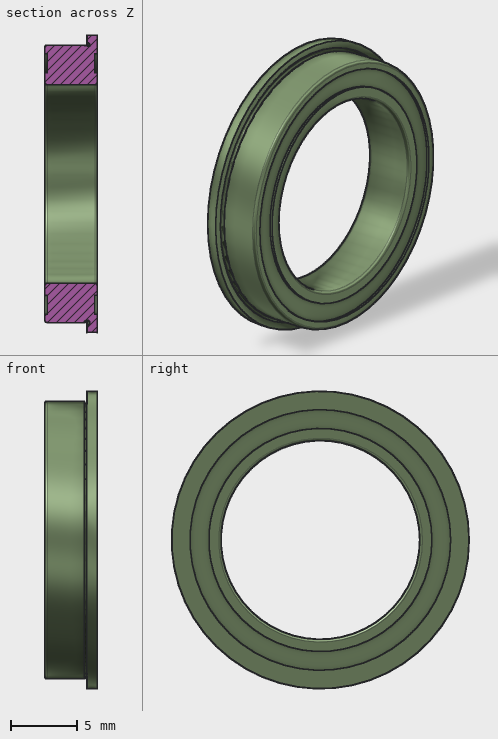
import cadquery as cq

width = 4.0
bore_diameter = 15.0
body_diameter = 21.0
flange_diameter = 22.5
flange_thickness = 0.8
edge_radius = 0.2
relief_radius = 0.2
shield_inner_diameter = 16.86
shield_outer_diameter = 19.7
shield_recess = 0.2

flange_start = width - flange_thickness


def disc(diameter, start, length):
    """Solid cylinder along X, beginning at x = start."""
    return cq.Workplane("YZ", origin=(start, 0, 0)).circle(diameter / 2).extrude(length)


def make_ring():
    """Body and flange with the bore, rounded at the front and in the bore."""
    body = disc(body_diameter, 0, width).faces("<X").edges().fillet(edge_radius)
    flange = disc(flange_diameter, flange_start, flange_thickness)
    bored = body.union(flange).cut(disc(bore_diameter, 0, width))
    bore_edges = cq.selectors.RadiusNthSelector(0)
    bored = bored.faces("<X").edges(bore_edges).fillet(edge_radius)
    return bored.faces(">X").edges(bore_edges).fillet(edge_radius)


def make_corner_relief():
    """Torus centred on the corner where the body meets the flange."""
    return cq.Workplane(
        cq.Solid.makeTorus(
            body_diameter / 2,
            relief_radius,
            cq.Vector(flange_start, 0, 0),
            cq.Vector(1, 0, 0),
        )
    )


def make_shield_recess(start):
    """Shallow ring-shaped recess between the inner and outer races."""
    outer = disc(shield_outer_diameter, start, shield_recess)
    return outer.cut(disc(shield_inner_diameter, start, shield_recess))


result = make_ring().cut(make_corner_relief())
for recess_start in (0, width - shield_recess):
    result = result.cut(make_shield_recess(recess_start))